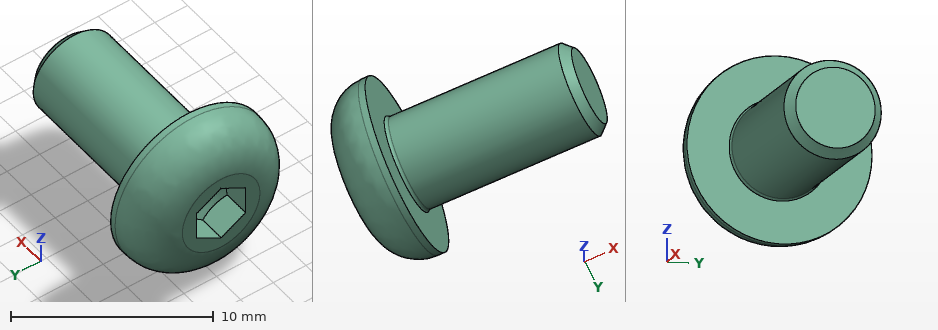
import cadquery as cq
import math

total_length = 12.75
head_diameter = 9.5
head_height = 2.75
shank_radius = 2.5
neck_length = 0.19
neck_flare = 0.09
tip_length = 0.5
tip_drop = 0.46
socket_width = 3.0
socket_depth = 1.53
socket_cone_angle = 120.0

head_radius = head_diameter / 2
dome_radius = head_radius / 2
face_radius = head_radius - dome_radius
socket_corner_radius = socket_width / math.sqrt(3)


def revolve_about_x(profile):
    """Turn a closed XY profile a full revolution about the screw axis."""
    return profile.revolve(360, (0, 0, 0), (1, 0, 0))


def make_body():
    """Domed head, flared neck and chamfered shank from one turned profile."""
    dome_offset = dome_radius * math.sqrt(0.5)
    dome_middle = (dome_radius - dome_offset, face_radius + dome_offset)
    profile = (
        cq.Workplane("XY")
        .moveTo(total_length, 0)
        .lineTo(total_length, shank_radius - tip_drop)
        .lineTo(total_length - tip_length, shank_radius)
        .lineTo(head_height + neck_length, shank_radius)
        .tangentArcPoint((head_height, shank_radius + neck_flare), relative=False)
        .lineTo(head_height, head_radius)
        .lineTo(dome_radius, head_radius)
        .threePointArc(dome_middle, (0, face_radius))
        .lineTo(0, 0)
        .close()
    )
    return revolve_about_x(profile)


def make_socket():
    """Hexagonal recess, corners toward +Z and -Z, with a conical floor."""
    cone_height = socket_corner_radius / math.tan(math.radians(socket_cone_angle / 2))
    full_depth = socket_depth + cone_height
    hexagon = (
        cq.Workplane("YZ")
        .transformed(rotate=(0, 0, 90))
        .polygon(6, 2 * socket_corner_radius)
        .extrude(full_depth)
    )
    drill_profile = (
        cq.Workplane("XY")
        .lineTo(0, socket_corner_radius)
        .lineTo(socket_depth, socket_corner_radius)
        .lineTo(full_depth, 0)
        .close()
    )
    return hexagon.intersect(revolve_about_x(drill_profile))


result = make_body().cut(make_socket())